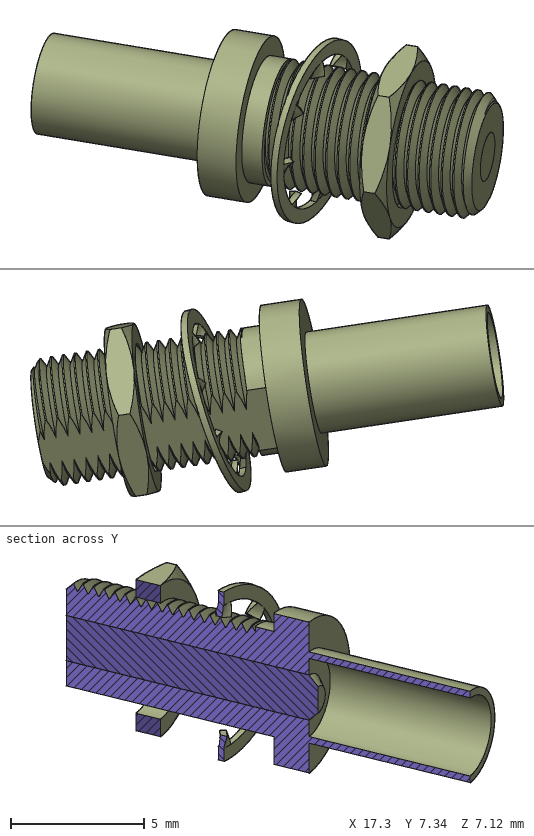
import cadquery as cq
import math


overall_length = 17.32
tube_radius = 1.92
tube_bore_radius = 1.63
flange_start = 6.9
flange_end = 8.42
flange_radius = 3.17
collar_end = 9.21
shank_flat_depth = 2.01
end_chamfer = 0.38

major_radius = 2.42
thread_turns = 17.9
thread_length = overall_length - collar_end
pitch = thread_length / thread_turns
crest_width = 0.05
flank_angle = 30.0
groove_half_width = (pitch - crest_width) / 2
root_radius = major_radius - groove_half_width / math.tan(math.radians(flank_angle))
first_groove = 0.14
groove_overshoot = 0.03

pin_radius = 0.94
pin_tip_radius = 0.55
pin_tip_length = pin_radius - pin_tip_radius

nut_start = 13.27
nut_width = 1.05
nut_half_flats = flange_radius
nut_corner_radius = nut_half_flats / math.cos(math.radians(30))
nut_chamfer_length = 0.31

washer_center_x = 10.65
washer_center_y = -0.15
washer_tilt = 9.6
washer_diameter = 7.12
washer_hole_radius = 3.0
washer_thickness = 0.26
tooth_count = 8
tooth_tip_radius = 2.46
tooth_width = 0.55
tooth_twist = 45.0
tooth_root_overlap = 0.09


def cylinder(start, end, radius):
    """Cylinder on the X axis between two X positions."""
    return cq.Workplane("YZ", origin=(start, 0, 0)).circle(radius).extrude(end - start)


def make_groove_turn():
    """V-shaped cutter for one right-hand turn that starts and ends on the -Z side."""
    outer_radius = major_radius + groove_overshoot
    outer_half_width = (outer_radius - root_radius) * math.tan(math.radians(flank_angle))
    helix = cq.Wire.makeHelix(pitch, pitch, root_radius)
    turn = (
        cq.Workplane("XZ")
        .moveTo(root_radius, 0)
        .lineTo(outer_radius, outer_half_width)
        .lineTo(outer_radius, -outer_half_width)
        .close()
        .sweep(cq.Workplane(helix), isFrenet=True)
    )
    return turn.rotate((0, 0, 0), (0, 1, 0), 90)


def cut_flat(body):
    """Remove what lies below the shank flat from a piece of the shank."""
    below_flat = (
        cq.Workplane("XY", origin=(overall_length / 2, 0, -shank_flat_depth))
        .rect(overall_length, 2 * major_radius)
        .extrude(-major_radius)
    )
    return body.cut(below_flat)


def make_thread():
    """Threaded length; the flat separates the turns, so each groove turn is cut on its own."""
    thread = cylinder(collar_end, overall_length, major_radius).faces(">X").chamfer(end_chamfer)
    thread = cut_flat(thread)
    groove_turn = make_groove_turn()
    for index in range(-1, math.ceil(thread_turns)):
        groove_start = collar_end + first_groove + index * pitch
        thread = thread.cut(groove_turn.translate((groove_start, 0, 0)))
    return thread


def make_housing():
    tube = cylinder(0, flange_start, tube_radius).cut(cylinder(0, flange_start, tube_bore_radius))
    flange = cylinder(flange_start, flange_end, flange_radius)
    collar = cut_flat(cylinder(flange_end, collar_end, major_radius))
    pin_hole = cylinder(flange_start, overall_length, pin_radius)
    return make_thread().union(collar).union(flange).union(tube).cut(pin_hole)


def make_pin():
    """Pin filling the housing's hole, with its conical tip standing inside the tube."""
    tip_start = flange_start - pin_tip_length
    return cylinder(tip_start, overall_length, pin_radius).faces("<X").chamfer(pin_tip_length)


def make_nut():
    """Hexagon nut with corners on the Y axis, chamfered on both faces."""
    hexagon = (
        cq.Workplane("YZ", origin=(nut_start, 0, 0))
        .polygon(6, 2 * nut_corner_radius)
        .extrude(nut_width)
    )
    nut_end = nut_start + nut_width
    chamfer_envelope = (
        cq.Workplane("XY")
        .moveTo(nut_start, 0)
        .lineTo(nut_start, nut_half_flats)
        .lineTo(nut_start + nut_chamfer_length, nut_corner_radius)
        .lineTo(nut_end - nut_chamfer_length, nut_corner_radius)
        .lineTo(nut_end, nut_half_flats)
        .lineTo(nut_end, 0)
        .close()
        .revolve(360, (0, 0, 0), (1, 0, 0))
    )
    return hexagon.intersect(chamfer_envelope).cut(cylinder(nut_start, nut_end, major_radius))


def make_washer_tooth():
    """Tooth at the +Z side of the ring, twisted about its radial line toward the tip."""
    blade_length = washer_hole_radius - tooth_tip_radius
    blade = (
        cq.Workplane("XY", origin=(0, 0, washer_hole_radius))
        .rect(washer_thickness, tooth_width)
        .twistExtrude(-blade_length, tooth_twist)
    )
    root = (
        cq.Workplane("XY", origin=(0, 0, washer_hole_radius))
        .rect(washer_thickness, tooth_width)
        .extrude(tooth_root_overlap)
    )
    return blade.union(root)


def make_washer():
    half_thickness = washer_thickness / 2
    ring = cylinder(-half_thickness, half_thickness, washer_diameter / 2)
    washer = ring.cut(cylinder(-half_thickness, half_thickness, washer_hole_radius))
    tooth = make_washer_tooth()
    for index in range(tooth_count):
        washer = washer.union(tooth.rotate((0, 0, 0), (1, 0, 0), index * 360 / tooth_count))
    washer = washer.rotate((0, 0, 0), (0, 0, 1), -washer_tilt)
    washer = washer.translate((washer_center_x, washer_center_y, 0))
    return washer.cut(cylinder(collar_end, overall_length, major_radius))


housing = make_housing()
pin = make_pin()
nut = make_nut()
washer = make_washer()

result = cq.Compound.makeCompound([body.solids().val() for body in (housing, pin, nut, washer)])